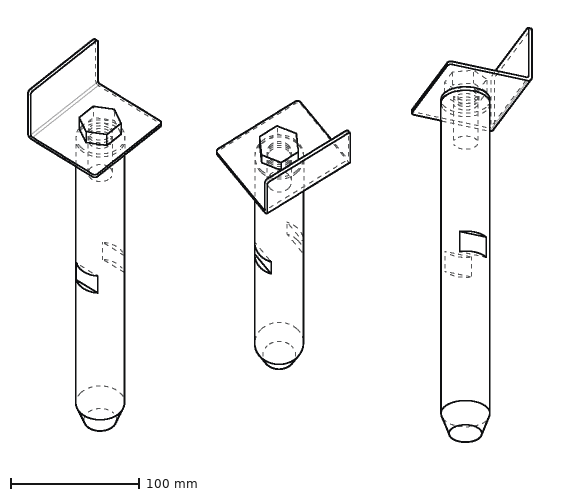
import cadquery as cq

total_height = 360.5

bracket_length = 70.0
bracket_width = 79.7
bracket_height = 50.0
plate_thickness = 3.0
bend_inner_radius = 1.8
bend_outer_radius = 4.0
plate_corner_radius = 3.0
axis_to_wall = 40.0
bracket_left = -axis_to_wall
bracket_right = bracket_left + bracket_length
bracket_bottom = total_height - bracket_height
plate_top = bracket_bottom + plate_thickness

pin_diameter = 38.2
washer_gap = 3.0
washer_thickness = 3.2
washer_top = bracket_bottom - washer_gap
pin_top = washer_top - washer_thickness
tip_diameter = 25.5
tip_height = 18.5

flat_width = 22.5
flat_height = 18.5
flat_bottom = 156.0
flat_offset = ((pin_diameter / 2) ** 2 - (flat_width / 2) ** 2) ** 0.5

head_across_flats = 29.0
head_height = 12.0
shank_diameter = 19.0
shank_depth_in_pin = 36.0
shank_bottom = pin_top - shank_depth_in_pin


def make_shank():
    """Cylinder of the bolt shank, also used to cut its matching holes."""
    shank_length = plate_top - shank_bottom
    return cq.Workplane("XY").workplane(offset=shank_bottom).circle(shank_diameter / 2).extrude(shank_length)


def make_bracket():
    """Bent plate with a wall on the -X side and a hole for the bolt."""
    bracket = (
        cq.Workplane("XZ")
        .moveTo(bracket_left, bracket_bottom)
        .lineTo(bracket_right, bracket_bottom)
        .lineTo(bracket_right, plate_top)
        .lineTo(bracket_left + plate_thickness, plate_top)
        .lineTo(bracket_left + plate_thickness, total_height)
        .lineTo(bracket_left, total_height)
        .close()
        .extrude(bracket_width / 2, both=True)
    )
    inner_bend = cq.selectors.NearestToPointSelector((bracket_left + plate_thickness, 0, plate_top))
    outer_bend = cq.selectors.NearestToPointSelector((bracket_left, 0, bracket_bottom))
    bracket = bracket.edges("|Y").edges(inner_bend).fillet(bend_inner_radius)
    bracket = bracket.edges("|Y").edges(outer_bend).fillet(bend_outer_radius)
    bracket = bracket.faces(">X").edges("|Z").fillet(plate_corner_radius)
    bracket = bracket.faces(">Z").edges("|X").fillet(plate_corner_radius)
    return bracket.cut(make_shank())


def make_bolt():
    """Hexagon head resting on the plate, with two corners along Y."""
    head = (
        cq.Workplane("XY")
        .workplane(offset=plate_top)
        .polygon(6, head_across_flats, circumscribed=True)
        .extrude(head_height)
    )
    return head.union(make_shank())


def make_washer():
    """Ring on top of the pin, as wide as the pin."""
    disc = cq.Workplane("XY").workplane(offset=pin_top).circle(pin_diameter / 2).extrude(washer_thickness)
    return disc.cut(make_shank())


def make_pin():
    """Round pin with a tapered tip, two flats and a blind hole for the bolt."""
    pin = (
        cq.Workplane("XZ")
        .lineTo(tip_diameter / 2, 0)
        .lineTo(pin_diameter / 2, tip_height)
        .lineTo(pin_diameter / 2, pin_top)
        .lineTo(0, pin_top)
        .close()
        .revolve(360, (0, 0, 0), (0, 1, 0))
    )
    for side in (-1, 1):
        flat_cutter = cq.Workplane("XY").box(
            pin_diameter, pin_diameter, flat_height, centered=(True, True, False)
        ).translate((0, side * (flat_offset + pin_diameter / 2), flat_bottom))
        pin = pin.cut(flat_cutter)
    return pin.cut(make_shank())


bracket = make_bracket()
bolt = make_bolt()
washer = make_washer()
pin = make_pin()

result = cq.Compound.makeCompound([bracket.val(), bolt.val(), washer.val(), pin.val()])